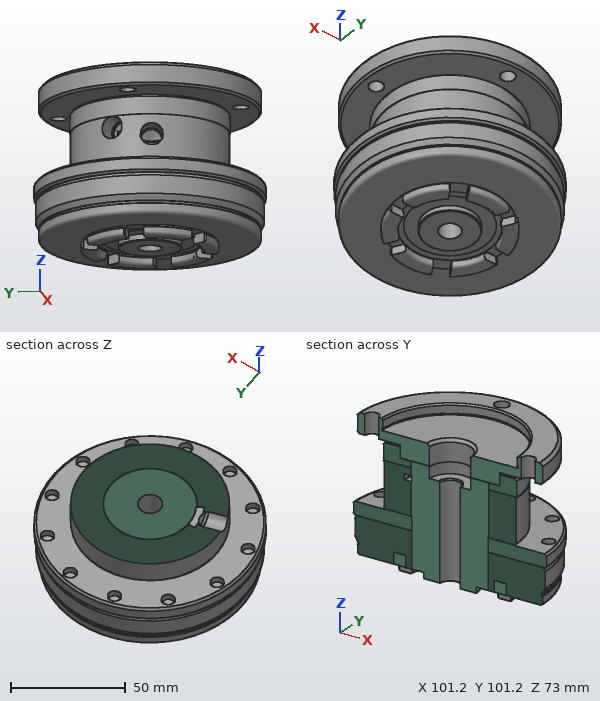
import cadquery as cq
import math

total_height = 73.0
flange_bottom = 62.6
cap_top = 62.0
flange_seat = 56.3
cap_bottom = 53.0
plate_top = 29.8
plate_bottom = 22.8
carrier_bottom = 4.5
bayonet_root = 10.1
hub_bottom = 1.5

boss_radius = 26.1
shaft_radius = 20.3
through_radius = 5.3
center_bore_radius = 10.6
edge_break = 1.0

flange_radius = 48.6
flange_top_chamfer = 1.5
recess_radius = 35.0
recess_depth = 5.7
recess_chamfer = 0.8
relief_width = 0.6
relief_height = 0.9
center_bore_chamfer_width = 1.2
center_bore_chamfer_height = 1.5
flange_hole_diameter = 7.1
flange_hole_circle = 40.9
flange_hole_count = 4

cap_radius = 34.9
cylinder_radius = 34.7

port_diameter = 9.8
port_depth = 9.1
pilot_diameter = 9.2
pilot_depth = 10.4
drill_point_angle = 118.0
port_spread = 15.0
upper_port_height = 48.0
lower_port_height = 44.1
groove_radius = 23.7
groove_arc = 30.0
upper_groove_height = 2.6
lower_groove_height = 2.3

shaft_bore_floor = 50.6
through_chamfer = 0.6
hub_radius = 13.9
hub_chamfer = 0.4

plate_radius = 50.6
plate_hole_diameter = 6.0
plate_hole_depth = 3.2
plate_hole_circle = 45.5
plate_hole_count = 12

carrier_radius = 49.9
carrier_top_chamfer_width = 0.8
carrier_top_chamfer_height = 1.4
taper_top = 13.1
neck_top = 10.3
neck_bottom = 9.1
taper_end_radius = 48.4
neck_radius = 47.9
rim_radius = 48.6
rim_fillet = 1.5

bayonet_radius = 30.1
bayonet_neck_radius = 29.4
bayonet_inner_radius = 22.7
bayonet_neck_inner_radius = 23.3
bayonet_neck_bottom = 3.4
bayonet_fillet = 1.3
slot_count = 6
slot_width = 8.1
lobe_width = 22.0


def cylinder(radius, bottom, top):
    return cq.Workplane("XY").workplane(offset=bottom).circle(radius).extrude(top - bottom)


def turned(outline):
    """Close an outline drawn as radius against height and turn it round the Z axis."""
    return outline.close().revolve(360, (0, 0, 0), (0, 1, 0))


def hole_ring(count, circle_radius, diameter, bottom, top, start_angle):
    return (
        cq.Workplane("XY")
        .workplane(offset=bottom)
        .polarArray(circle_radius, start_angle, 360, count)
        .circle(diameter / 2)
        .extrude(top - bottom)
    )


def make_flange():
    recess_floor = total_height - recess_depth
    relief_radius = recess_radius + relief_width
    profile = [
        (center_bore_radius, flange_seat),
        (boss_radius, flange_seat),
        (boss_radius, flange_bottom),
        (flange_radius - edge_break, flange_bottom),
        (flange_radius, flange_bottom + edge_break),
        (flange_radius, total_height - flange_top_chamfer),
        (flange_radius - flange_top_chamfer, total_height),
        (recess_radius + recess_chamfer, total_height),
        (recess_radius, total_height - recess_chamfer),
        (recess_radius, recess_floor + relief_height),
        (relief_radius, recess_floor + relief_height),
        (relief_radius, recess_floor),
        (center_bore_radius + center_bore_chamfer_width, recess_floor),
        (center_bore_radius, recess_floor - center_bore_chamfer_height),
    ]
    flange = turned(cq.Workplane("XZ").polyline(profile))
    return flange.cut(
        hole_ring(flange_hole_count, flange_hole_circle, flange_hole_diameter,
                  flange_bottom, total_height, 0)
    )


def make_cap():
    cap = cylinder(cap_radius, cap_bottom, cap_top).faces(">Z").chamfer(edge_break)
    cap = cap.cut(cylinder(boss_radius, flange_seat, cap_top))
    return cap.cut(cylinder(shaft_radius, cap_bottom, flange_seat))


def port_cutter(height, angle):
    """Stepped drill with a conical point, entering radially at the given angle."""
    pilot_radius = pilot_diameter / 2
    point_length = pilot_radius / math.tan(math.radians(drill_point_angle / 2))
    shoulder = cylinder_radius - pilot_depth
    step = cylinder_radius - port_depth
    outside = cylinder_radius + edge_break
    profile = [
        (shoulder - point_length, 0),
        (shoulder, pilot_radius),
        (step, pilot_radius),
        (step, port_diameter / 2),
        (outside, port_diameter / 2),
        (outside, 0),
    ]
    drill = cq.Workplane("XZ").polyline(profile).close().revolve(360, (0, 0, 0), (1, 0, 0))
    return drill.rotate((0, 0, 0), (0, 0, 1), angle).translate((0, 0, height))


def groove_cutter(bottom, height, angle):
    """Arc-shaped groove in the shaft bore, centred on the given angle."""
    section = [
        (shaft_radius - edge_break, bottom),
        (groove_radius, bottom),
        (groove_radius, bottom + height),
        (shaft_radius - edge_break, bottom + height),
    ]
    groove = cq.Workplane("XZ").polyline(section).close().revolve(groove_arc, (0, 0, 0), (0, -1, 0))
    middle = groove.val().Center()
    turn = angle - math.degrees(math.atan2(middle.y, middle.x))
    return groove.rotate((0, 0, 0), (0, 0, 1), turn)


def make_cylinder():
    body = cylinder(cylinder_radius, plate_top, cap_bottom).faces("<Z").chamfer(edge_break)
    body = body.cut(cylinder(shaft_radius, plate_top, cap_bottom))
    upper_angle = 180 - port_spread
    lower_angle = 180 + port_spread
    upper_groove_bottom = upper_port_height - upper_groove_height / 2
    lower_groove_bottom = lower_port_height - lower_groove_height
    body = body.cut(port_cutter(upper_port_height, upper_angle))
    body = body.cut(port_cutter(lower_port_height, lower_angle))
    body = body.cut(groove_cutter(upper_groove_bottom, upper_groove_height, upper_angle))
    return body.cut(groove_cutter(lower_groove_bottom, lower_groove_height, lower_angle))


def make_shaft():
    hub = cylinder(hub_radius, hub_bottom, carrier_bottom).faces("<Z").chamfer(hub_chamfer)
    shaft = hub.union(cylinder(shaft_radius, carrier_bottom, flange_seat))
    shaft = shaft.cut(cylinder(center_bore_radius, shaft_bore_floor, flange_seat))
    shaft = shaft.cut(cylinder(through_radius, hub_bottom, shaft_bore_floor))
    mouth = cq.Solid.makeCone(
        through_radius, through_radius + through_chamfer, through_chamfer,
        pnt=cq.Vector(0, 0, shaft_bore_floor - through_chamfer),
    )
    return shaft.cut(cq.Workplane(mouth))


def make_plate():
    plate = cylinder(plate_radius, plate_bottom, plate_top).faces("<Z or >Z").chamfer(edge_break)
    plate = plate.cut(cylinder(shaft_radius, plate_bottom, plate_top))
    spacing = 360 / plate_hole_count
    return plate.cut(
        hole_ring(plate_hole_count, plate_hole_circle, plate_hole_diameter,
                  plate_top - plate_hole_depth, plate_top, spacing / 2)
    )


def make_carrier():
    carrier = turned(
        cq.Workplane("XZ")
        .moveTo(shaft_radius, carrier_bottom)
        .lineTo(rim_radius - rim_fillet, carrier_bottom)
        .radiusArc((rim_radius, carrier_bottom + rim_fillet), -rim_fillet)
        .lineTo(rim_radius, neck_bottom)
        .lineTo(neck_radius, neck_bottom)
        .lineTo(neck_radius, neck_top)
        .lineTo(taper_end_radius, neck_top)
        .lineTo(carrier_radius, taper_top)
        .lineTo(carrier_radius, plate_bottom - carrier_top_chamfer_height)
        .lineTo(carrier_radius - carrier_top_chamfer_width, plate_bottom)
        .lineTo(shaft_radius, plate_bottom)
    )
    seat = cylinder(bayonet_neck_radius, carrier_bottom, bayonet_root)
    return carrier.cut(seat.cut(cylinder(bayonet_neck_inner_radius, carrier_bottom, bayonet_root)))


def make_bayonet_profile():
    """Plain ring with rounded lower edges and a neck on both the outer and inner side."""
    ring = (
        cq.Workplane("XZ")
        .moveTo(bayonet_inner_radius + bayonet_fillet, 0)
        .lineTo(bayonet_radius - bayonet_fillet, 0)
        .radiusArc((bayonet_radius, bayonet_fillet), -bayonet_fillet)
        .lineTo(bayonet_radius, bayonet_neck_bottom)
        .lineTo(bayonet_neck_radius, bayonet_neck_bottom)
        .lineTo(bayonet_neck_radius, bayonet_root)
        .lineTo(bayonet_neck_inner_radius, bayonet_root)
        .lineTo(bayonet_neck_inner_radius, bayonet_neck_bottom)
        .lineTo(bayonet_inner_radius, bayonet_neck_bottom)
        .lineTo(bayonet_inner_radius, bayonet_fillet)
        .radiusArc((bayonet_inner_radius + bayonet_fillet, 0), -bayonet_fillet)
    )
    return turned(ring)


def make_slot_cutter():
    """Slot along +X whose mouth widens so that each lobe keeps a limited overall width."""
    half_pitch = math.pi / slot_count
    wall = slot_width / 2
    flare_start = (lobe_width / 2 + wall * math.cos(half_pitch)) / math.sin(half_pitch)
    reach = bayonet_radius + 1
    mouth = wall + (reach - flare_start) * math.tan(half_pitch)
    outline = [
        (0, wall), (flare_start, wall), (reach, mouth),
        (reach, -mouth), (flare_start, -wall), (0, -wall),
    ]
    return cq.Workplane("XY").polyline(outline).close().extrude(carrier_bottom)


def make_bayonet_ring():
    ring = make_bayonet_profile()
    slot = make_slot_cutter()
    for i in range(slot_count):
        ring = ring.cut(slot.rotate((0, 0, 0), (0, 0, 1), i * 360 / slot_count))
    return ring


flange = make_flange()
cap = make_cap()
port_cylinder = make_cylinder()
shaft = make_shaft()
plate = make_plate()
carrier = make_carrier()
bayonet_ring = make_bayonet_ring()

bodies = [flange, cap, port_cylinder, shaft, plate, carrier, bayonet_ring]
result = cq.Compound.makeCompound([body.solids().val() for body in bodies])